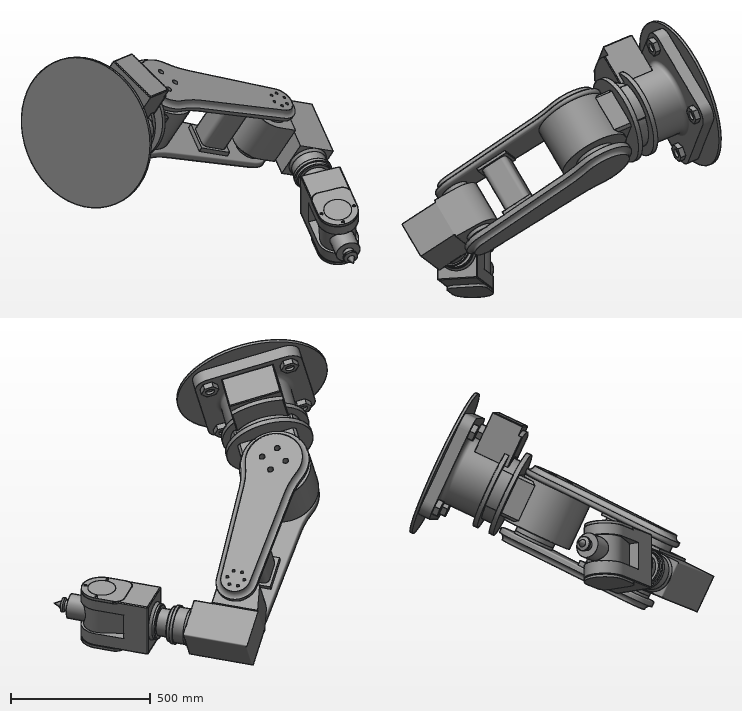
import cadquery as cq
import math

ARM_TILT = -30
BASE_TURN = 30

LINK_LENGTH = 500.0
LINK_MIDPLANE = -15.0
LINK_GAP = 209.0
LINK_SLAB = 20.0
COVE_RADIUS = 20.0
SHOULDER_END_RADIUS = 125.0
ELBOW_END_RADIUS = 75.0
LINK_NECK_RADIUS = 274
LINK_SIDE_LEAN = math.radians(3.4)
UPPER_LINK_SHIFT = -8.0
UPPER_EDGE_ROUND = 10.0
LOWER_EDGE_ROUND = 6.0
LINK_BOSS_HEIGHT = 10.0
SHOULDER_BOSS_DIAMETER = 150.0
ELBOW_BOSS_DIAMETER = 100.0
SHOULDER_HOLE_DIAMETER = 20.0
SHOULDER_HOLE_CIRCLE = 45.0
ELBOW_HOLE_DIAMETER = 10.0
ELBOW_HOLE_CIRCLE = 32.0

UPPER_LINK_INNER = LINK_MIDPLANE + LINK_GAP / 2
LOWER_LINK_INNER = LINK_MIDPLANE - LINK_GAP / 2
LOWER_BOSS_TOP = LOWER_LINK_INNER + LINK_BOSS_HEIGHT

SPACER_PLACE = 325.0
SPACER_LENGTH = 102.0
SPACER_WIDTH = 102.0
SPACER_ROUND = 19.0
PAD_MARGIN = 10.0
UPPER_PAD_THICKNESS = 10.0
LOWER_PAD_THICKNESS = 18.0

DISC_DIAMETER = 555.0
DISC_THICKNESS = 10.0
DISC_FAR_FACE = 415.0
FLANGE_SIDE = 400
FLANGE_THICKNESS = 45.0
FLANGE_CORNER_RADIUS = 53.0
COLUMN_DIAMETER = 260.0
COLUMN_FILLET = 16.0
RING_DIAMETER = 320
RING_THICKNESS = 17.0
BASE_RING_START = 202.0
BASE_LUG_THICKNESS = 16.0
BASE_LUG_RADIUS = 229
MOTOR_WIDTH = 194.0
MOTOR_TOP = 245.0
MOTOR_LENGTH = 119.0
MOTOR_CHAMFER = 3.0
NUT_SPACING = 299.0
NUT_ACROSS_FLATS = 57
NUT_HEIGHT = 20.0
NUT_BORE = 32.0
NUT_BORE_DEPTH = 10.0

FLANGE_FAR_FACE = DISC_FAR_FACE - DISC_THICKNESS
FLANGE_NEAR_FACE = FLANGE_FAR_FACE - FLANGE_THICKNESS
LUG_START = BASE_RING_START - BASE_LUG_THICKNESS

SHOULDER_DRUM_DIAMETER = 260.0
CAROUSEL_RING_START = 138.0
CAROUSEL_CORE_DIAMETER = 247.0
CAROUSEL_PAD_HEIGHT = 142.0
CAROUSEL_BOX_WIDTH = 219.0
CAROUSEL_BOX_HEIGHT = 160
CAROUSEL_BOX_CHAMFER = 10.0
CAROUSEL_DRUM_BOTTOM = -UPPER_LINK_INNER

ELBOW_RADIUS = 78.0
ELBOW_HALF_HEIGHT = 80
ELBOW_LEFT_WIDTH = 95.0
FOREARM_OFFSET = 144.0
FOREARM_BOX_WIDTH = 146.0
FOREARM_BOX_HEIGHT = 142.0
FOREARM_BOX_LENGTH = 242.0
FOREARM_BOX_ROUND = 5.0
TUBE_FLANGE_RADIUS = 71.0
TUBE_RADIUS = 65.0
TUBE_FLANGE_LENGTH = 11.0
TUBE_COLLAR_START = 51.0
TUBE_COLLAR_LENGTH = 11.0
TUBE_LENGTH = 78.0
TUBE_CHAMFER = 3.0

FOREARM_BOX_END = FOREARM_BOX_LENGTH - ELBOW_LEFT_WIDTH
NECK_START = FOREARM_BOX_END + TUBE_LENGTH

NECK_RADIUS = 50.0
NECK_LENGTH = 40.0
WRIST_COLLAR_LENGTH = 23.0
WRIST_WIDTH = 150.0
WRIST_HEIGHT = 200.0
WRIST_PIVOT = 488.0
WRIST_CHAMFER = 3.0
CAP_THICKNESS = 10.0
COVER_INSET = 1.0
CAP_LENGTH = 100.0
CAP_CORNER_RADIUS = 34
SLOT_HEIGHT = 99.0
SLOT_DEPTH = 107.0
PIN_DIAMETER = 100.0
WRIST_SCREW_DIAMETER = 10.0
WRIST_SCREW_CIRCLE = 62.0
WRIST_SCREW_DEPTH = 6.0

COLLAR_START = NECK_START + NECK_LENGTH
WRIST_START = COLLAR_START + WRIST_COLLAR_LENGTH

HAND_RADIUS = 65.0
HAND_TAIL_LENGTH = 100.0
HAND_TAIL_HALF_WIDTH = 40.0
BARREL_DIAMETER = 90.0
BARREL_END = 608.0
TIP_SHANK_RADIUS = 20.0
TIP_SHANK_LENGTH = 16.0
TIP_BULB_RADIUS = 26.0
TIP_BULB_LENGTH = 17.0
TIP_BULB_BEVEL = 5.0
TIP_CONE_RADIUS = 14.0
TIP_END = 668.0

arm_tilt = cq.Location(cq.Vector(0, 0, 0), cq.Vector(1, 0, 0), ARM_TILT)


def in_arm_frame(body):
    return body.val().moved(arm_tilt)


def in_base_frame(body):
    """Place a body built along +Z so that it follows the base axis, its Y along the shoulder axis."""
    turn = math.radians(BASE_TURN)
    plane = cq.Plane(
        origin=(0, 0, 0),
        xDir=(math.cos(turn), math.sin(turn), 0),
        normal=(math.sin(turn), -math.cos(turn), 0),
    )
    return body.val().moved(arm_tilt * cq.Location(plane))


def in_forearm_frame(body):
    """Place a body built along X through the origin, upright in the world, on the forearm axis."""
    axis_point = cq.Vector(0, LINK_LENGTH + FOREARM_OFFSET, LINK_MIDPLANE)
    axis_point = axis_point.transform(cq.Matrix(arm_tilt.wrapped.Transformation()))
    return body.val().moved(cq.Location(axis_point))


def cylinder(diameter, start, end):
    return cq.Workplane("XY").workplane(offset=start).circle(diameter / 2).extrude(end - start)


def turned_along_x(points):
    """Revolve an outline of (x, radius) points, closed along the X axis."""
    outline = [(points[0][0], 0)] + points
    if points[-1][1] > 0:
        outline.append((points[-1][0], 0))
    return cq.Workplane("XY").polyline(outline).close().revolve(360, (0, 0, 0), (1, 0, 0))


def round_ended_bar(radius, reach, left_width, right_width):
    """Round end about the origin; each side runs tangent to it up to its own width at Y = reach."""

    def touching_point(half_width):
        distance = math.hypot(reach, half_width)
        angle = math.atan2(reach, half_width) - math.acos(radius / distance)
        return (radius * math.cos(angle), radius * math.sin(angle))

    left_x, left_y = touching_point(left_width)
    return (
        cq.Workplane("XY")
        .moveTo(-left_width, reach)
        .lineTo(-left_x, left_y)
        .threePointArc((0, -radius), touching_point(right_width))
        .lineTo(right_width, reach)
        .close()
    )


def make_mounting_disc():
    return cylinder(DISC_DIAMETER, FLANGE_FAR_FACE, DISC_FAR_FACE)


def make_nut():
    corner_diameter = NUT_ACROSS_FLATS / math.cos(math.pi / 6)
    return (
        cq.Workplane("XY")
        .workplane(offset=FLANGE_NEAR_FACE - NUT_HEIGHT)
        .polygon(6, corner_diameter)
        .extrude(NUT_HEIGHT)
        .faces("<Z")
        .workplane()
        .hole(NUT_BORE, NUT_BORE_DEPTH)
    )


def make_flange():
    return (
        cq.Workplane("XY")
        .workplane(offset=FLANGE_NEAR_FACE)
        .rect(FLANGE_SIDE, FLANGE_SIDE)
        .extrude(FLANGE_THICKNESS)
        .edges("|Z")
        .fillet(FLANGE_CORNER_RADIUS)
    )


def make_motor_housing():
    return (
        cq.Workplane("XY")
        .box(MOTOR_WIDTH, MOTOR_TOP, MOTOR_LENGTH, centered=(True, False, False))
        .translate((0, 0, BASE_RING_START))
        .faces(">Y")
        .chamfer(MOTOR_CHAMFER)
    )


def make_lug():
    strip = cq.Workplane("XY").box(
        MOTOR_WIDTH, MOTOR_TOP, BASE_LUG_THICKNESS, centered=(True, False, False)
    )
    strip = strip.faces("<Z").edges("|Y").chamfer(MOTOR_CHAMFER)
    round_top = cylinder(2 * BASE_LUG_RADIUS, 0, BASE_LUG_THICKNESS)
    core_clearance = cylinder(COLUMN_DIAMETER, 0, BASE_LUG_THICKNESS)
    return strip.intersect(round_top).cut(core_clearance).translate((0, 0, LUG_START))


def make_base():
    column = cylinder(COLUMN_DIAMETER, BASE_RING_START, FLANGE_NEAR_FACE)
    base = make_flange().union(column)
    base = base.faces(cq.selectors.NearestToPointSelector((0, 0, FLANGE_NEAR_FACE)))
    base = base.edges(cq.selectors.RadiusNthSelector(-1)).fillet(COLUMN_FILLET)
    base = base.union(cylinder(RING_DIAMETER, BASE_RING_START, BASE_RING_START + RING_THICKNESS))
    base = base.union(make_lug()).union(make_motor_housing())
    nut = make_nut()
    for x in (-NUT_SPACING / 2, NUT_SPACING / 2):
        for y in (-NUT_SPACING / 2, NUT_SPACING / 2):
            base = base.union(nut.translate((x, y, 0)))
    return base


def make_carousel_turntable():
    box = (
        cq.Workplane("XY")
        .box(CAROUSEL_BOX_WIDTH, CAROUSEL_BOX_HEIGHT, CAROUSEL_RING_START, centered=(True, True, False))
        .edges("|Z")
        .chamfer(CAROUSEL_BOX_CHAMFER)
    )
    ring = cylinder(RING_DIAMETER, CAROUSEL_RING_START, CAROUSEL_RING_START + RING_THICKNESS)
    core = cylinder(CAROUSEL_CORE_DIAMETER, CAROUSEL_RING_START, BASE_RING_START)
    pads = cylinder(COLUMN_DIAMETER, CAROUSEL_RING_START, BASE_RING_START).intersect(
        cq.Workplane("XY")
        .rect(COLUMN_DIAMETER, CAROUSEL_PAD_HEIGHT)
        .extrude(BASE_RING_START)
    )
    return box.union(ring).union(core).union(pads)


def make_carousel():
    """The turntable and the shoulder drum, already placed in the world."""
    drum = cylinder(SHOULDER_DRUM_DIAMETER, CAROUSEL_DRUM_BOTTOM, UPPER_LINK_INNER)
    drum = drum.union(cylinder(SHOULDER_BOSS_DIAMETER, LOWER_BOSS_TOP, CAROUSEL_DRUM_BOTTOM))
    return in_arm_frame(drum).fuse(in_base_frame(make_carousel_turntable()))


def link_outline():
    """Two round ends; straight sides touch the elbow end and meet the shoulder end in concave arcs."""
    blend_distance = SHOULDER_END_RADIUS + LINK_NECK_RADIUS
    side_lean = LINK_SIDE_LEAN
    across = (math.cos(side_lean), math.sin(side_lean))
    along = (-math.sin(side_lean), math.cos(side_lean))
    side_offset = ELBOW_END_RADIUS + LINK_LENGTH * across[1]
    blend_offset = side_offset + LINK_NECK_RADIUS
    blend_height = math.sqrt(blend_distance**2 - blend_offset**2)
    blend_center = [blend_offset * a + blend_height * b for a, b in zip(across, along)]
    on_shoulder = [c * SHOULDER_END_RADIUS / blend_distance for c in blend_center]
    on_side = [c - LINK_NECK_RADIUS * a for c, a in zip(blend_center, across)]
    to_blend_middle = [(p + q) / 2 - c for p, q, c in zip(on_shoulder, on_side, blend_center)]
    stretch = LINK_NECK_RADIUS / math.hypot(*to_blend_middle)
    blend_middle = [c + stretch * d for c, d in zip(blend_center, to_blend_middle)]
    on_elbow = (ELBOW_END_RADIUS * across[0], LINK_LENGTH + ELBOW_END_RADIUS * across[1])

    def mirrored(point):
        return (-point[0], point[1])

    return (
        cq.Workplane("XY")
        .moveTo(*on_shoulder)
        .threePointArc(blend_middle, on_side)
        .lineTo(*on_elbow)
        .threePointArc((0, LINK_LENGTH + ELBOW_END_RADIUS), mirrored(on_elbow))
        .lineTo(*mirrored(on_side))
        .threePointArc(mirrored(blend_middle), mirrored(on_shoulder))
        .threePointArc((0, -SHOULDER_END_RADIUS), on_shoulder)
        .close()
    )


def make_link_plate(edge_round):
    """Link plate with its inner face on Z = 0 and a cove around its outer face."""
    thickness = LINK_SLAB + COVE_RADIUS
    plate = link_outline().extrude(thickness)
    plate = plate.faces("<Z").edges().fillet(edge_round)
    rim = link_outline().wire().translate((0, 0, thickness))
    start = (0, -SHOULDER_END_RADIUS, thickness)
    cove = cq.Workplane("YZ").center(start[1], start[2]).circle(COVE_RADIUS).sweep(rim)
    return plate.cut(cove)


def make_upper_link():
    thickness = LINK_SLAB + COVE_RADIUS
    plate = make_link_plate(UPPER_EDGE_ROUND)
    shoulder_holes = (
        cq.Workplane("XY")
        .polarArray(SHOULDER_HOLE_CIRCLE, 0, 360, 4)
        .circle(SHOULDER_HOLE_DIAMETER / 2)
        .extrude(thickness)
    )
    elbow_holes = (
        cq.Workplane("XY")
        .center(0, LINK_LENGTH)
        .polarArray(ELBOW_HOLE_CIRCLE, 0, 360, 6)
        .circle(ELBOW_HOLE_DIAMETER / 2)
        .extrude(thickness)
    )
    link = plate.cut(shoulder_holes).cut(elbow_holes)
    return link.translate((0, UPPER_LINK_SHIFT, UPPER_LINK_INNER))


def make_lower_link():
    plate = make_link_plate(LOWER_EDGE_ROUND).mirror("XY").translate((0, 0, LOWER_LINK_INNER))
    shoulder_boss = cylinder(SHOULDER_BOSS_DIAMETER, LOWER_LINK_INNER, LOWER_BOSS_TOP)
    elbow_boss = cylinder(ELBOW_BOSS_DIAMETER, LOWER_LINK_INNER, LOWER_BOSS_TOP)
    return plate.union(shoulder_boss).union(elbow_boss.translate((0, LINK_LENGTH, 0)))


def make_pad(thickness):
    width = SPACER_WIDTH + 2 * PAD_MARGIN
    length = SPACER_LENGTH + 2 * PAD_MARGIN
    return cq.Workplane("XY").rect(width, length).extrude(thickness)


def make_spacer():
    post = (
        cq.Workplane("XY")
        .workplane(offset=LOWER_LINK_INNER)
        .center(0, SPACER_PLACE)
        .rect(SPACER_WIDTH, SPACER_LENGTH)
        .extrude(LINK_GAP)
        .edges("|Z")
        .fillet(SPACER_ROUND)
    )
    lower_pad = make_pad(LOWER_PAD_THICKNESS).translate((0, SPACER_PLACE, LOWER_LINK_INNER))
    upper_pad_start = UPPER_LINK_INNER - UPPER_PAD_THICKNESS
    upper_pad = make_pad(UPPER_PAD_THICKNESS).translate((0, SPACER_PLACE, upper_pad_start))
    return post.union(lower_pad).union(upper_pad)


def make_hub():
    reach = FOREARM_OFFSET - FOREARM_BOX_WIDTH / 2
    outline = round_ended_bar(ELBOW_RADIUS, reach, ELBOW_LEFT_WIDTH, ELBOW_RADIUS)
    hub = outline.extrude(2 * ELBOW_HALF_HEIGHT)
    hub = hub.translate((0, 0, LINK_MIDPLANE - ELBOW_HALF_HEIGHT))
    boss = cylinder(ELBOW_BOSS_DIAMETER, LOWER_BOSS_TOP, UPPER_LINK_INNER)
    return hub.union(boss).translate((0, LINK_LENGTH, 0))


def make_forearm_box():
    return (
        cq.Workplane("XY")
        .box(FOREARM_BOX_LENGTH, FOREARM_BOX_WIDTH, FOREARM_BOX_HEIGHT, centered=(False, True, True))
        .translate((-ELBOW_LEFT_WIDTH, 0, 0))
        .faces(">Y")
        .edges()
        .fillet(FOREARM_BOX_ROUND)
    )


def make_forearm_tube():
    collar_start = FOREARM_BOX_END + TUBE_COLLAR_START
    collar_end = collar_start + TUBE_COLLAR_LENGTH
    flange_end = FOREARM_BOX_END + TUBE_FLANGE_LENGTH
    return turned_along_x(
        [
            (FOREARM_BOX_END, TUBE_FLANGE_RADIUS),
            (flange_end, TUBE_RADIUS),
            (collar_start, TUBE_RADIUS),
            (collar_start, TUBE_FLANGE_RADIUS),
            (collar_end, TUBE_FLANGE_RADIUS),
            (collar_end, TUBE_RADIUS),
            (NECK_START - TUBE_CHAMFER, TUBE_RADIUS),
            (NECK_START, TUBE_RADIUS - TUBE_CHAMFER),
        ]
    )


def make_elbow():
    forearm = make_forearm_box().union(make_forearm_tube())
    return make_hub().union(forearm.translate((0, LINK_LENGTH + FOREARM_OFFSET, LINK_MIDPLANE)))


def make_fork_block():
    straight = WRIST_PIVOT - WRIST_START
    block = (
        cq.Workplane("XY")
        .box(straight, WRIST_WIDTH, WRIST_HEIGHT, centered=(False, True, True))
        .translate((WRIST_START, 0, 0))
    )
    round_end = cylinder(WRIST_WIDTH, -WRIST_HEIGHT / 2, WRIST_HEIGHT / 2)
    block = block.union(round_end.translate((WRIST_PIVOT, 0, 0)))
    return block.faces("<X or >Z or <Z").edges().chamfer(WRIST_CHAMFER)


def make_cover(inset=0):
    """Plate over the round end of the fork, drawn in by the inset all around, on Z = 0."""
    length = CAP_LENGTH - inset
    width = WRIST_WIDTH - 2 * inset
    cover = (
        cq.Workplane("XY")
        .box(length, width, CAP_THICKNESS, centered=(False, True, False))
        .translate((-length, 0, 0))
        .edges("<X and |Z")
        .fillet(CAP_CORNER_RADIUS)
    )
    return cover.union(cylinder(width, 0, CAP_THICKNESS)).translate((WRIST_PIVOT, 0, 0))


def make_wrist():
    neck = turned_along_x(
        [
            (NECK_START, NECK_RADIUS),
            (COLLAR_START, NECK_RADIUS),
            (COLLAR_START, TUBE_RADIUS - TUBE_CHAMFER),
            (COLLAR_START + TUBE_CHAMFER, TUBE_RADIUS),
            (WRIST_START - TUBE_COLLAR_LENGTH, TUBE_RADIUS),
            (WRIST_START, TUBE_FLANGE_RADIUS),
        ]
    )
    slot_start = WRIST_PIVOT - SLOT_DEPTH
    slot_length = SLOT_DEPTH + WRIST_WIDTH
    slot = cq.Workplane("XY").box(slot_length, WRIST_WIDTH, SLOT_HEIGHT, centered=(False, True, True))
    pin_hole = cylinder(PIN_DIAMETER, 0, WRIST_HEIGHT / 2)
    screw_holes = (
        cq.Workplane("XY")
        .workplane(offset=WRIST_HEIGHT / 2 - WRIST_SCREW_DEPTH)
        .polarArray(WRIST_SCREW_CIRCLE, -90, 180, 3)
        .circle(WRIST_SCREW_DIAMETER / 2)
        .extrude(WRIST_SCREW_DEPTH)
    )
    top_seat = (0, 0, WRIST_HEIGHT / 2 - CAP_THICKNESS)
    bottom_cap = make_cover().translate((0, 0, -WRIST_HEIGHT / 2 - CAP_THICKNESS))
    fork = make_fork_block().cut(make_cover().translate(top_seat))
    fork = fork.union(make_cover(COVER_INSET).translate(top_seat))
    fork = fork.cut(slot.translate((slot_start, 0, 0)))
    for hole in (pin_hole, screw_holes):
        fork = fork.cut(hole.translate((WRIST_PIVOT, 0, 0)))
    return fork.union(bottom_cap).union(neck)


def make_knuckle():
    knuckle = round_ended_bar(
        HAND_RADIUS, HAND_TAIL_LENGTH, HAND_TAIL_HALF_WIDTH, HAND_TAIL_HALF_WIDTH
    )
    knuckle = knuckle.extrude(SLOT_HEIGHT).translate((0, 0, -SLOT_HEIGHT / 2))
    knuckle = knuckle.rotate((0, 0, 0), (0, 0, 1), 90)
    pin = cylinder(PIN_DIAMETER, 0, WRIST_HEIGHT / 2)
    return knuckle.union(pin).translate((WRIST_PIVOT, 0, 0))


def make_hand():
    shank_end = BARREL_END + TIP_SHANK_LENGTH
    bulb_end = shank_end + TIP_BULB_LENGTH
    barrel_and_tip = turned_along_x(
        [
            (WRIST_PIVOT, BARREL_DIAMETER / 2),
            (BARREL_END, BARREL_DIAMETER / 2),
            (BARREL_END, TIP_SHANK_RADIUS),
            (shank_end, TIP_SHANK_RADIUS),
            (shank_end + TIP_BULB_BEVEL, TIP_BULB_RADIUS),
            (bulb_end - TIP_BULB_BEVEL, TIP_BULB_RADIUS),
            (bulb_end, TIP_CONE_RADIUS),
            (TIP_END, 0),
        ]
    )
    return make_knuckle().union(barrel_and_tip)


mounting_disc = in_base_frame(make_mounting_disc())
base = in_base_frame(make_base())
carousel = make_carousel()
upper_link = in_arm_frame(make_upper_link())
lower_link = in_arm_frame(make_lower_link())
spacer = in_arm_frame(make_spacer())
elbow = in_arm_frame(make_elbow())
wrist = in_forearm_frame(make_wrist())
hand = in_forearm_frame(make_hand())

result = cq.Compound.makeCompound(
    [mounting_disc, base, carousel, upper_link, lower_link, spacer, elbow, wrist, hand]
)